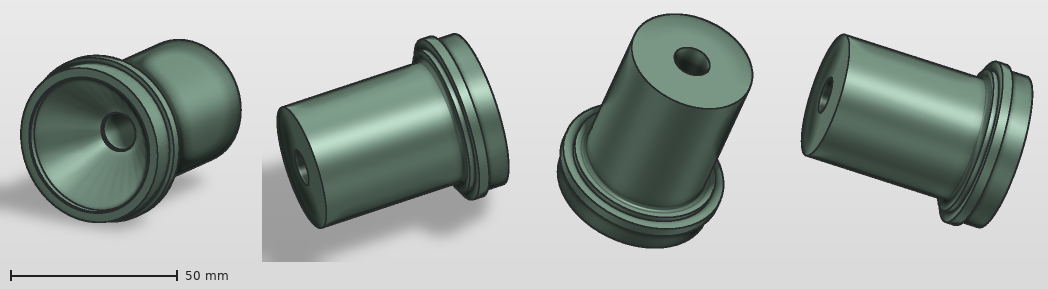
import cadquery as cq

length = 57.3
spigot_radius = 47.55 / 2
flange_radius = 50.55 / 2
step_radius = 44.4 / 2
barrel_radius = 38.1 / 2
flange_start = 7.05
flange_end = 10.2
step_end = 12.0
root_fillet = 1.25

funnel_radius = 41.2 / 2
bore_radius = 11.2 / 2
mouth_chamfer = 0.35
funnel_start = 2.5
funnel_end = 17.2
throat_radius = 5.95
throat_depth = 1.0
throat_end = funnel_end + throat_depth


def revolve_profile(sketch):
    """Close a radius-versus-Y profile and turn it about the Y axis."""
    return sketch.close().revolve(360, (0, 0, 0), (0, 1, 0))


def make_body():
    """Barrel, step, flange and spigot, with a concave fillet at the barrel root."""
    fillet_inset = root_fillet * (1 - 0.5**0.5)
    profile = (
        cq.Workplane("XY")
        .lineTo(spigot_radius, 0)
        .lineTo(spigot_radius, flange_start)
        .lineTo(flange_radius, flange_start)
        .lineTo(flange_radius, flange_end)
        .lineTo(step_radius, flange_end)
        .lineTo(step_radius, step_end)
        .lineTo(barrel_radius + root_fillet, step_end)
        .threePointArc(
            (barrel_radius + fillet_inset, step_end + fillet_inset),
            (barrel_radius, step_end + root_fillet),
        )
        .lineTo(barrel_radius, length)
        .lineTo(0, length)
    )
    return revolve_profile(profile)


def make_bore():
    """Chamfered mouth, short straight lip, conical funnel, stepped throat and through bore."""
    profile = (
        cq.Workplane("XY")
        .lineTo(funnel_radius + mouth_chamfer, 0)
        .lineTo(funnel_radius, mouth_chamfer)
        .lineTo(funnel_radius, funnel_start)
        .lineTo(throat_radius, funnel_end)
        .lineTo(throat_radius, throat_end)
        .lineTo(bore_radius, throat_end)
        .lineTo(bore_radius, length)
        .lineTo(0, length)
    )
    return revolve_profile(profile)


result = make_body().cut(make_bore())